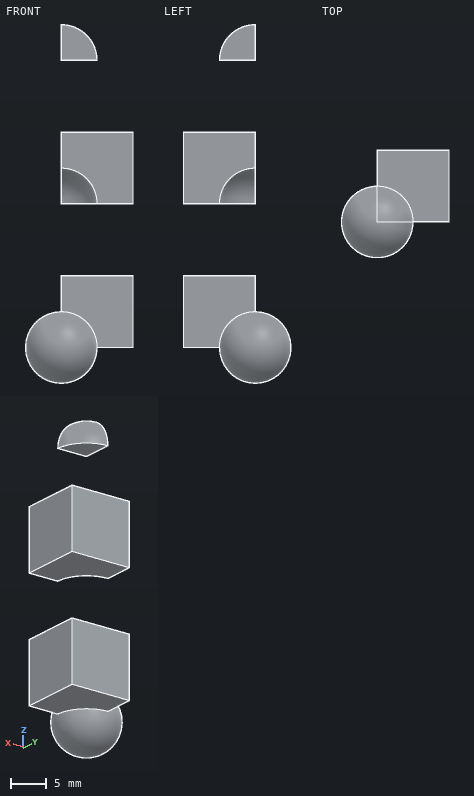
import cadquery as cq

cube_side = 10.0
ball_radius = cube_side / 2
level_spacing = 2 * cube_side


def make_cube():
    """Cube with its lower corner at the origin, reaching along +X, +Y and +Z."""
    return cq.Workplane("XY").box(cube_side, cube_side, cube_side, centered=False)


def make_ball():
    """Ball centred on the cube's lower corner."""
    return cq.Workplane("XY").sphere(ball_radius)


def make_cube_with_ball():
    """Cube and ball fused into one solid."""
    return make_cube().union(make_ball())


def make_hollowed_cube():
    """Cube with a spherical recess at its lower corner."""
    return make_cube().cut(make_ball())


def make_ball_octant():
    """The eighth of the ball that lies inside the cube."""
    return make_cube().intersect(make_ball())


cube_with_ball = make_cube_with_ball()
hollowed_cube = make_hollowed_cube().translate((0, 0, level_spacing))
ball_octant = make_ball_octant().translate((0, 0, 2 * level_spacing))

result = cq.Compound.makeCompound(
    [
        *cube_with_ball.vals(),
        *hollowed_cube.vals(),
        *ball_octant.vals(),
    ]
)